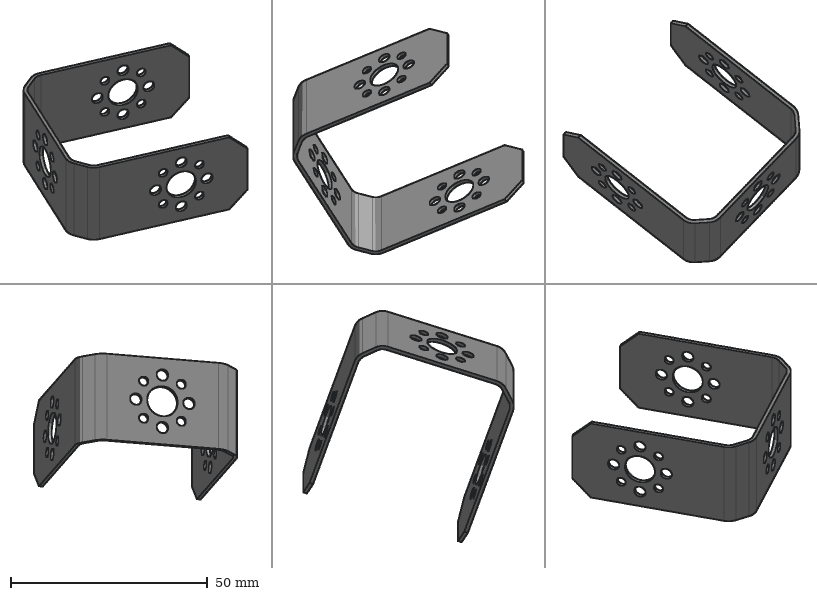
import cadquery as cq
import math

width = 42.6
length = 47.0
height = 23.0
thickness = 1.0

corner_setback = 5.0
outer_bend_radius = 4.0
inner_bend_radius = outer_bend_radius - thickness

tip_chamfer = 5.0

center_hole_diameter = 8.0
bolt_circle_radius = 7.0
large_hole_diameter = 3.0
small_hole_diameter = 2.4
holes_per_size = 4
arm_pattern_from_tip = 18.0
arm_pattern_y = length - arm_pattern_from_tip


def bevelled_block(inset, setback, bend_radius):
    """Solid block inside the outer faces by inset, with rounded bevels at the web."""
    half_width = width / 2 - inset
    block = (
        cq.Workplane("XY")
        .moveTo(-half_width, length)
        .lineTo(-half_width, inset + setback)
        .lineTo(-half_width + setback, inset)
        .lineTo(half_width - setback, inset)
        .lineTo(half_width, inset + setback)
        .lineTo(half_width, length)
        .close()
        .extrude(height / 2, both=True)
    )
    bend_edges = block.edges("|Z").edges("not >Y")
    return bend_edges.fillet(bend_radius)


def bent_strip():
    """Sheet of constant thickness, its inner bends concentric with the outer ones."""
    setback_loss = thickness * (2 - math.sqrt(2))
    outside = bevelled_block(0, corner_setback, outer_bend_radius)
    inside = bevelled_block(thickness, corner_setback - setback_loss, inner_bend_radius)
    return outside.cut(inside)


def tip_corner(side):
    """Triangular prism that clips the upper (+1) or lower (-1) corner of both arms."""
    corner_z = side * height / 2
    return (
        cq.Workplane("YZ")
        .moveTo(length, corner_z)
        .lineTo(length - tip_chamfer, corner_z)
        .lineTo(length, corner_z - side * tip_chamfer)
        .close()
        .extrude(width, both=True)
    )


def hole_pattern(plane, depth):
    """Cutters for a central hole ringed by alternating large and small holes."""
    center_hole = cq.Workplane(plane).circle(center_hole_diameter / 2)
    cutters = center_hole.extrude(depth, both=True)
    for diameter, start_angle in ((large_hole_diameter, 0), (small_hole_diameter, 45)):
        ring = (
            cq.Workplane(plane)
            .polarArray(bolt_circle_radius, start_angle, 360, holes_per_size)
            .circle(diameter / 2)
            .extrude(depth, both=True)
        )
        cutters = cutters.union(ring)
    return cutters


bracket = bent_strip()
for side in (-1, 1):
    bracket = bracket.cut(tip_corner(side))

web_plane = cq.Plane.XZ()
arm_plane = cq.Plane.YZ(origin=(0, arm_pattern_y, 0))
bracket = bracket.cut(hole_pattern(web_plane, 2 * thickness))
bracket = bracket.cut(hole_pattern(arm_plane, width))

result = bracket